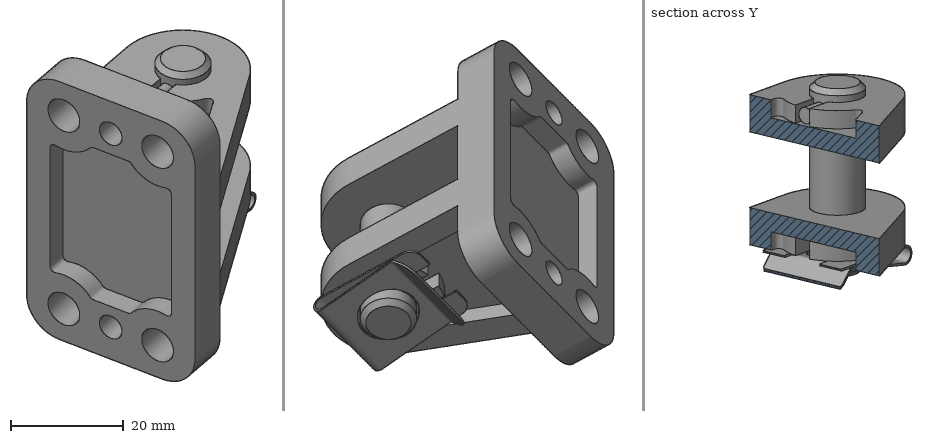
import cadquery as cq
import math


base_width = 36.0
base_height = 56.0
base_thickness = 8.0
base_corner_radius = 7.0

arm_end_radius = 12.0
arm_gap = 14.0
arm_thickness = 7.0
arm_length = 24.0
arm_outer_z = arm_gap / 2 + arm_thickness

base_left_x = -arm_end_radius
base_right_x = base_left_x + base_width
base_center_x = base_left_x + base_width / 2
base_back_y = -arm_length
base_front_y = base_back_y - base_thickness

big_hole_diameter = 6.8
small_hole_diameter = 4.8
big_hole_offset_x = 10.0
hole_offset_z = 21.0

base_pocket_depth = 4.1
base_pocket_width = 26.0
base_pocket_height = 33.05
big_hole_boss_radius = 7.4
base_pocket_fillet = 1.0

arm_pocket_depth = 3.35
arm_rim = 5.0
arm_boss_radius = 10.0
arm_pocket_fillet = 1.0
arm_pocket_floor_z = arm_outer_z - arm_pocket_depth
dowel_slot_width = 3.25

pin_diameter = 10.0
pin_top_z = 16.25
pin_bottom_z = -18.75
pin_chamfer = 1.0
groove_diameter = 8.0
groove_height = 0.85

dowel_diameter = 3.0
dowel_reach = 9.0
dowel_z = arm_pocket_floor_z + dowel_diameter / 2

clip_width = 17.9
clip_thickness = 0.4
clip_arm_clearance = 0.4
clip_top_z = -arm_outer_z - clip_arm_clearance
clip_corner_radius = 2.5
loop_outer_radius = 1.8
loop_center_y = 8.1
fork_end_y = -12.05
lower_leg_angle = math.radians(10)
knuckle_y = -7.35
knuckle_tangent = 0.4
tab_angle = math.radians(47)
tab_length = 5.45
clip_hole_diameter = 11.0


def make_base():
    """Rounded plate with its mounting holes and front pocket."""
    plate = (
        cq.Workplane("XZ", origin=(base_center_x, base_back_y, 0))
        .rect(base_width, base_height)
        .extrude(base_thickness)
        .edges("|Y")
        .fillet(base_corner_radius)
    )
    for hole_x, diameter in (
        (-big_hole_offset_x, big_hole_diameter),
        (0, small_hole_diameter),
        (big_hole_offset_x, big_hole_diameter),
    ):
        holes = (
            cq.Workplane("XZ", origin=(base_center_x, base_back_y, 0))
            .pushPoints([(hole_x, hole_offset_z), (hole_x, -hole_offset_z)])
            .circle(diameter / 2)
            .extrude(base_thickness)
        )
        plate = plate.cut(holes)
    return plate.cut(make_base_pocket())


def make_base_pocket():
    """Rectangle minus the bosses around the four big holes."""
    floor_plane = cq.Workplane("XZ", origin=(base_center_x, base_front_y + base_pocket_depth, 0))
    bosses = (
        floor_plane
        .rect(2 * big_hole_offset_x, 2 * hole_offset_z, forConstruction=True)
        .vertices()
        .circle(big_hole_boss_radius)
        .extrude(base_pocket_depth)
    )
    return (
        floor_plane
        .rect(base_pocket_width, base_pocket_height)
        .extrude(base_pocket_depth)
        .cut(bosses)
        .edges("|Y")
        .fillet(base_pocket_fillet)
    )


def slanted_side(distance):
    """Line parallel to the slanted arm side, at a distance from the pin axis.

    Returns the point of the line nearest the axis and the X where it meets the base.
    """
    corner_distance = math.hypot(base_right_x, base_back_y)
    corner_angle = math.atan2(base_back_y, base_right_x)
    normal_angle = corner_angle + math.acos(arm_end_radius / corner_distance)
    normal = (math.cos(normal_angle), math.sin(normal_angle))
    foot = (distance * normal[0], distance * normal[1])
    base_x = (distance - base_back_y * normal[1]) / normal[0]
    return foot, base_x


def make_arm():
    """Upper arm: rounded end, one straight side and one slanted side, with pin hole, pocket and slot."""
    tangent_point, base_x = slanted_side(arm_end_radius)
    arm = (
        cq.Workplane("XY", origin=(0, 0, arm_gap / 2))
        .moveTo(base_left_x, base_back_y)
        .lineTo(base_x, base_back_y)
        .lineTo(*tangent_point)
        .threePointArc((0, arm_end_radius), (base_left_x, 0))
        .close()
        .extrude(arm_thickness)
    )
    pin_hole = cq.Workplane("XY").circle(pin_diameter / 2).extrude(arm_outer_z)
    dowel_slot = (
        cq.Workplane("XY", origin=(0, 0, arm_pocket_floor_z))
        .center(0, -arm_boss_radius / 2)
        .rect(dowel_slot_width, arm_boss_radius)
        .extrude(arm_pocket_depth)
    )
    return arm.cut(pin_hole).cut(make_arm_pocket()).cut(dowel_slot)


def make_arm_pocket():
    """Pocket that follows the arm sides and the round boss of the pin hole."""
    inner_distance = arm_end_radius - arm_rim
    foot, base_x = slanted_side(inner_distance)
    boss = (
        cq.Workplane("XY", origin=(0, 0, arm_pocket_floor_z))
        .circle(arm_boss_radius)
        .extrude(arm_pocket_depth)
    )
    return (
        cq.Workplane("XY", origin=(0, 0, arm_pocket_floor_z))
        .moveTo(-inner_distance, base_back_y)
        .lineTo(base_x, base_back_y)
        .lineTo(*foot)
        .lineTo(-inner_distance, 0)
        .close()
        .extrude(arm_pocket_depth)
        .cut(boss)
        .edges("|Z")
        .fillet(arm_pocket_fillet)
    )


def make_bracket():
    """Base with two mirrored arms."""
    upper_arm = make_arm()
    lower_arm = upper_arm.mirror("XY")
    return make_base().union(upper_arm).union(lower_arm).solids()


def make_pin():
    """Chamfered pin with a clip groove at the bottom and a radial dowel near the top."""
    pin = (
        cq.Workplane("XY", origin=(0, 0, pin_bottom_z))
        .circle(pin_diameter / 2)
        .extrude(pin_top_z - pin_bottom_z)
        .faces("<Z or >Z")
        .chamfer(pin_chamfer)
    )
    groove = (
        cq.Workplane("XY", origin=(0, 0, clip_top_z - groove_height))
        .circle(pin_diameter / 2)
        .circle(groove_diameter / 2)
        .extrude(groove_height)
    )
    dowel = (
        cq.Workplane("XZ", origin=(0, 0, dowel_z))
        .circle(dowel_diameter / 2)
        .extrude(dowel_reach)
    )
    return pin.cut(groove).union(dowel).solids()


def make_clip():
    """Bent strip: forked upper leg in the pin groove, loop, and lower leg with a hole and an end tab."""
    leg_z = clip_top_z - clip_thickness / 2
    loop_radius = loop_outer_radius - clip_thickness / 2
    loop_center_z = clip_top_z - loop_outer_radius
    loop_end = (
        loop_center_y - loop_radius * math.sin(lower_leg_angle),
        loop_center_z - loop_radius * math.cos(lower_leg_angle),
    )
    knuckle_z = loop_end[1] + (loop_end[0] - knuckle_y) * math.tan(lower_leg_angle)
    bend_start = (
        knuckle_y + knuckle_tangent * math.cos(lower_leg_angle),
        knuckle_z - knuckle_tangent * math.sin(lower_leg_angle),
    )
    bend_end = (
        knuckle_y - knuckle_tangent * math.cos(tab_angle),
        knuckle_z - knuckle_tangent * math.sin(tab_angle),
    )
    tab_end = (
        knuckle_y - tab_length * math.cos(tab_angle),
        knuckle_z - tab_length * math.sin(tab_angle),
    )
    path = (
        cq.Workplane("YZ")
        .moveTo(fork_end_y, leg_z)
        .lineTo(loop_center_y, leg_z)
        .threePointArc((loop_center_y + loop_radius, loop_center_z), loop_end)
        .lineTo(*bend_start)
        .tangentArcPoint(bend_end, relative=False)
        .lineTo(*tab_end)
    )
    strip = (
        cq.Workplane("XZ", origin=(0, fork_end_y, leg_z))
        .rect(clip_width, clip_thickness)
        .sweep(path)
    )

    strip = strip.faces("<Y").edges("not |X").fillet(clip_corner_radius)
    tab_direction = cq.Vector(0, -math.cos(tab_angle), -math.sin(tab_angle))
    tab_corners = strip.faces(cq.selectors.DirectionMinMaxSelector(tab_direction)).edges("not |X")
    strip = tab_corners.fillet(clip_corner_radius)

    leg_bottom_z = clip_top_z - clip_thickness
    fork_opening = (
        cq.Workplane("XY", origin=(0, 0, leg_bottom_z))
        .circle(groove_diameter / 2)
        .extrude(clip_thickness)
        .union(
            cq.Workplane("XY", origin=(0, fork_end_y / 2, leg_bottom_z))
            .rect(groove_diameter, -fork_end_y)
            .extrude(clip_thickness)
        )
    )
    pin_clearance = (
        cq.Workplane("XY", origin=(0, 0, pin_bottom_z))
        .circle(clip_hole_diameter / 2)
        .extrude(leg_bottom_z - pin_bottom_z)
    )
    return strip.cut(fork_opening).cut(pin_clearance).solids()


bracket = make_bracket()
pin = make_pin()
clip = make_clip()

result = cq.Compound.makeCompound([bracket.val(), pin.val(), clip.val()])